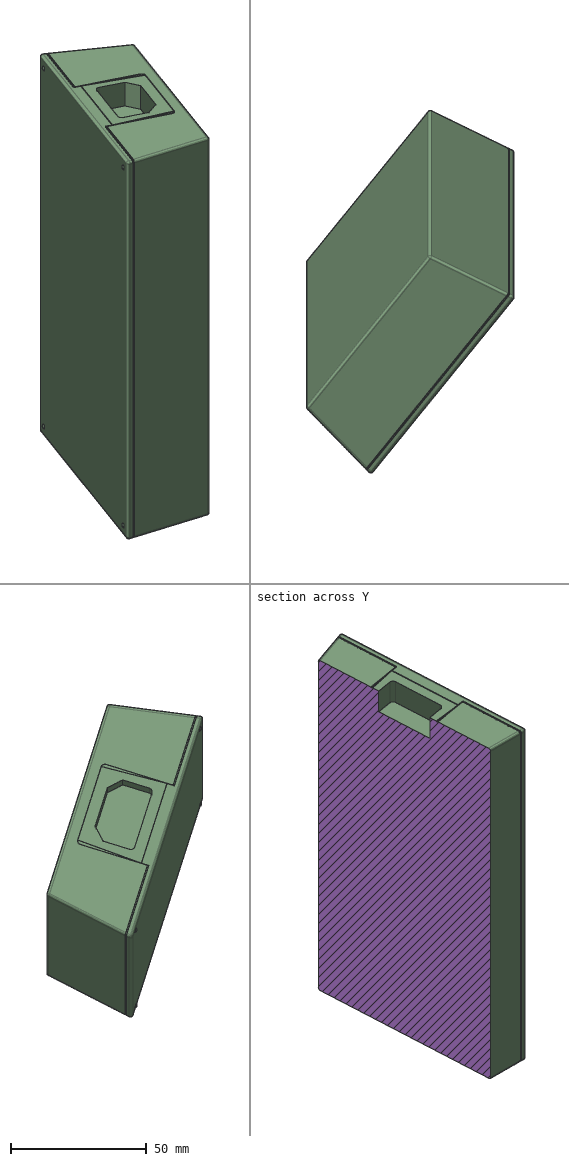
import math
import cadquery as cq

case_depth = 35.0
case_height = 160.0
back_width = 75.0
side_draft = 10.0
edge_radius = 1.0
front_width = back_width + 2 * case_depth * math.tan(math.radians(side_draft))

lid_thickness = 2.4
groove_width = 0.5
groove_depth = 0.5

foot_diameter = 2.2
foot_height = 0.5
foot_inset = 4.2

panel_width = 31.4
panel_front = 5.2
panel_back = 30.2
panel_draft = 2.8
panel_corner_radius = 1.5
seam_width = 0.06
seam_depth = 0.2

socket_width = 24.0
socket_front = 9.4
socket_back = 25.65
socket_depth = 10.0
socket_chamfer = 4.5
socket_radius = 1.5

half_height = case_height / 2
shell_front = lid_thickness + groove_width


def width_at(y):
    """Width of the wedge section at distance y from the lid face."""
    return front_width - 2 * y * math.tan(math.radians(side_draft))


def trapezoid(front_y, back_y, front_size, back_size):
    """Closed XY outline, symmetric about x = 0, with edges parallel to X at front and back."""
    return [
        (-front_size / 2, front_y),
        (front_size / 2, front_y),
        (back_size / 2, back_y),
        (-back_size / 2, back_y),
    ]


def make_case():
    section = trapezoid(0, case_depth, front_width, back_width)
    blank = cq.Workplane("XY").workplane(offset=-half_height).polyline(section).close()
    return blank.extrude(case_height).edges().fillet(edge_radius)


def top_cut(depth):
    """Workplane at the given depth below the top end."""
    return cq.Workplane("XY").workplane(offset=half_height - depth)


def make_tongue():
    """Bridge that keeps the lid flush with the shell in front of the inlet panel."""
    width = panel_width - 2 * seam_width
    outline = trapezoid(0, panel_front, width, width)
    return top_cut(groove_depth).polyline(outline).close().extrude(groove_depth)


def make_groove():
    """Ring around the case between the lid and the shell, open at the tongue."""
    outer = trapezoid(lid_thickness, shell_front, width_at(lid_thickness), width_at(shell_front))
    core_width = width_at(lid_thickness) - 2 * groove_depth
    core_back_width = width_at(shell_front) - 2 * groove_depth
    inner = trapezoid(lid_thickness, shell_front, core_width, core_back_width)
    ring = cq.Workplane("XY").workplane(offset=-half_height).polyline(outer).close().extrude(case_height)
    core_height = case_height - 2 * groove_depth
    core = cq.Workplane("XY").workplane(offset=-core_height / 2).polyline(inner).close().extrude(core_height)
    return ring.cut(core).cut(make_tongue())


def make_seam():
    """Shallow gap around the drafted inlet panel and along the sides of the tongue."""
    opening = trapezoid(shell_front, panel_back, panel_width, panel_width)
    opening_block = top_cut(seam_depth).polyline(opening).close().extrude(seam_depth)
    opening_block = opening_block.edges("|Z and >Y").fillet(panel_corner_radius)

    inner_front = panel_front + seam_width
    inner_back = panel_back - seam_width
    inner_width = panel_width - 2 * seam_width
    taper = 2 * (inner_back - inner_front) * math.tan(math.radians(panel_draft))
    panel = trapezoid(inner_front, inner_back, inner_width, inner_width - taper)
    panel_block = top_cut(seam_depth).polyline(panel).close().extrude(seam_depth)
    return opening_block.cut(panel_block).cut(make_tongue())


def make_socket():
    length = socket_back - socket_front
    socket = top_cut(socket_depth).center(0, socket_front + length / 2)
    socket = socket.rect(socket_width, length).extrude(socket_depth)
    socket = socket.edges("|Z and >Y").chamfer(socket_chamfer)
    return socket.edges("|Z and <Y").fillet(socket_radius)


def make_feet():
    """Spheres sunk in the lid so that only low domes stand out, one near each corner."""
    radius = foot_diameter / 2
    spacing_x = front_width - 2 * foot_inset
    spacing_z = case_height - 2 * foot_inset
    feet = cq.Workplane("XZ", origin=(0, radius - foot_height, 0))
    return feet.rarray(spacing_x, spacing_z, 2, 2).sphere(radius)


result = make_case().cut(make_groove()).cut(make_seam()).cut(make_socket()).union(make_feet())